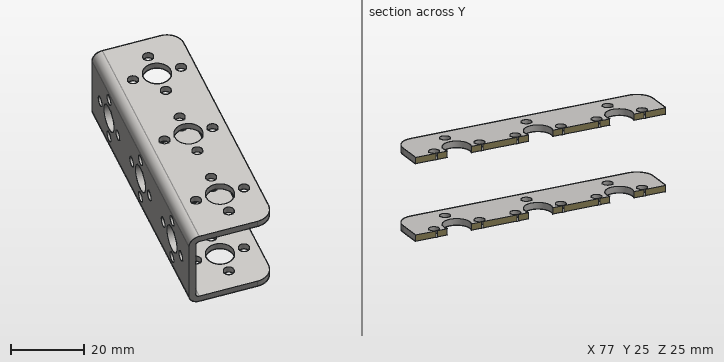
import cadquery as cq

length = 77.0
depth = 25.0
height = 25.0
thickness = 2.0
outer_bend_radius = 3.0
inner_bend_radius = outer_bend_radius - thickness
flange_corner_radius = 5.0

cluster_count = 3
cluster_pitch = 25.0
large_hole_diameter = 8.0
small_hole_diameter = 3.0
small_hole_offset = 7.0
flange_hole_depth = 14.0

web_face_y = -depth / 2
cluster_centers_x = [(i - (cluster_count - 1) / 2) * cluster_pitch for i in range(cluster_count)]


def bent_channel():
    """U-channel open toward +Y, with rounded bends between web and flanges."""
    outer = (
        cq.Workplane("XY")
        .box(length, depth, height)
        .edges("|X and <Y")
        .fillet(outer_bend_radius)
    )
    cavity = (
        cq.Workplane("XY")
        .box(length, depth - thickness, height - 2 * thickness)
        .edges("|X and <Y")
        .fillet(inner_bend_radius)
        .translate((0, thickness / 2, 0))
    )
    return outer.cut(cavity)


def round_flange_corners(channel):
    """Round the free corners of both flanges."""
    return channel.edges("|Z and >Y").fillet(flange_corner_radius)


def hole_clusters(plane, center_v, drill_length):
    """Cutting cylinders for a row of clusters, extruded from the given plane."""
    large_points = [(x, center_v) for x in cluster_centers_x]
    small_points = []
    for x in cluster_centers_x:
        small_points += [
            (x - small_hole_offset, center_v),
            (x + small_hole_offset, center_v),
            (x, center_v - small_hole_offset),
            (x, center_v + small_hole_offset),
        ]
    large = plane.pushPoints(large_points).circle(large_hole_diameter / 2).extrude(drill_length)
    small = plane.pushPoints(small_points).circle(small_hole_diameter / 2).extrude(drill_length)
    return large.union(small)


def flange_holes():
    """Clusters passing through both flanges along Z."""
    bottom = cq.Workplane("XY", origin=(0, 0, -height / 2))
    return hole_clusters(bottom, web_face_y + flange_hole_depth, height)


def web_holes():
    """Clusters passing through the web along Y, centred on its height."""
    web_inner = cq.Workplane("XZ", origin=(0, web_face_y + thickness, 0))
    return hole_clusters(web_inner, 0, thickness)


result = round_flange_corners(bent_channel()).cut(flange_holes()).cut(web_holes())